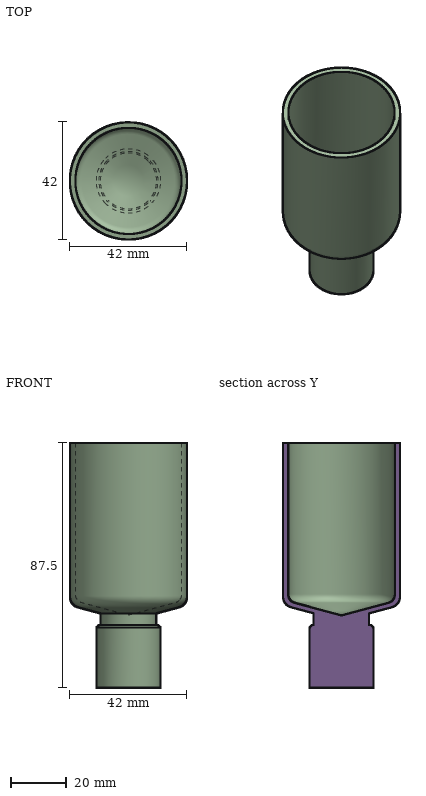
import cadquery as cq
import math

total_height = 87.5
cup_radius = 42.0 / 2
bore_radius = 38.0 / 2
wall = cup_radius - bore_radius

floor_angle = math.radians(15)
outer_apex_height = 23.9
inner_apex_height = outer_apex_height + wall / math.cos(floor_angle)
outer_blend = 4.0
inner_blend = 3.0

stem_radius = 23.0 / 2
stem_height = 22.5
stem_chamfer = 1.0
neck_radius = 20.0 / 2


def cup_volume(radius, blend, apex_height):
    """Cylinder with a conical bottom and a tangent blend, reaching the top of the part."""
    center_r = radius - blend
    center_z = apex_height + center_r * math.tan(floor_angle) + blend / math.cos(floor_angle)
    sweep = math.pi / 2 - floor_angle

    def blend_point(angle):
        return center_r + blend * math.cos(angle), center_z - blend * math.sin(angle)

    return (
        cq.Workplane("XZ")
        .moveTo(0, apex_height)
        .lineTo(*blend_point(sweep))
        .threePointArc(blend_point(sweep / 2), blend_point(0))
        .lineTo(radius, total_height)
        .lineTo(0, total_height)
        .close()
        .revolve(360, (0, 0, 0), (0, 1, 0))
    )


outer_cup = cup_volume(cup_radius, outer_blend, outer_apex_height)
cup_cavity = cup_volume(bore_radius, inner_blend, inner_apex_height)

stem = cq.Workplane("XY").circle(stem_radius).extrude(stem_height)
stem = stem.faces(">Z").chamfer(stem_chamfer)

neck_top = outer_apex_height + neck_radius * math.tan(floor_angle)
neck = cq.Workplane("XY").circle(neck_radius).extrude(neck_top)

result = outer_cup.union(neck).union(stem).cut(cup_cavity)